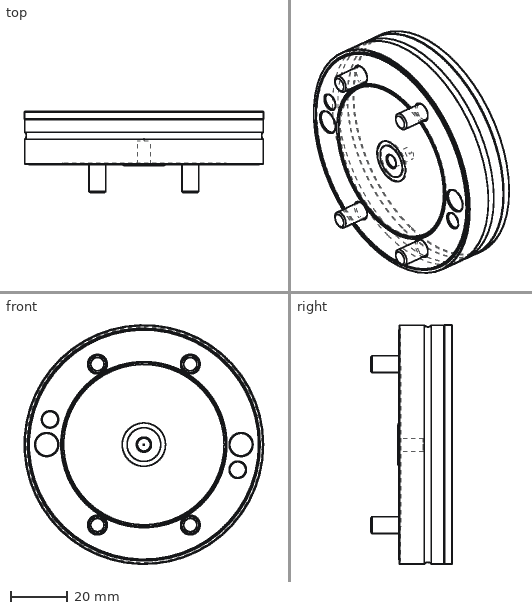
import cadquery as cq
import math

disc_radius = 42.5
body_radius = 84.9 / 2
rim_height = 18.8
face_height = 18.95
overall_height = 29.0

edge_chamfer = 0.25
rim_chamfer = 0.2
seam_height = 2.9
seam_half_width = 0.2
seam_depth = 0.2
groove_start = 7.4
groove_end = 9.95
groove_wall = 0.1
groove_depth = 0.6

land_radius = 41.0
land_chamfer = 0.25
land_groove_radius = 41.3
land_groove_depth = 0.3
ring_inner_radius = 28.5
ring_outer_radius = 29.1
ring_depth = 0.7
ring_chamfer = 0.4

seal_inner_radius = 12.0 / 2
seal_outer_radius = 15.4 / 2
seal_rise = 0.3

centre_diameter = 4.6
centre_mouth_diameter = 5.35
centre_chamfer_depth = 0.4
centre_depth = 8.5
vent_diameter = 0.4
vent_depth = 0.85

pin_diameter = 6.0
pin_tip_diameter = 4.7
pin_tip_length = 0.5
pin_circle_radius = 33.0
pin_angles = (60, 120, 240, 300)
pin_recess_diameter = 7.0
pin_recess_depth = 0.4
pin_root_depth = 0.85

recess_depth = 0.5
recess_chamfer = 0.25
recess_circle_radius = 34.5
large_recess_diameter = 8.0
large_recess_angles = (0, 180)
small_recess_diameter = 5.6
small_recess_angles = (-15, 165)


def make_disc():
    """Revolve half of the disc section; each point is (radius, -height)."""
    seal_tube_radius = (seal_outer_radius - seal_inner_radius) / 2
    seal_centre_radius = (seal_outer_radius + seal_inner_radius) / 2
    seal_top = face_height + seal_rise
    seal_bottom = seal_top - seal_tube_radius
    wall_radius = body_radius - groove_wall
    groove_middle = (groove_start + groove_end) / 2
    section = (
        cq.Workplane("XY")
        .moveTo(0, 0)
        .lineTo(disc_radius - edge_chamfer, 0)
        .lineTo(disc_radius, -edge_chamfer)
        .lineTo(disc_radius, -(seam_height - seam_half_width))
        .lineTo(disc_radius - seam_depth, -seam_height)
        .lineTo(body_radius, -(seam_height + seam_half_width))
        .lineTo(body_radius, -groove_start)
        .lineTo(wall_radius, -groove_start)
        .threePointArc((body_radius - groove_depth, -groove_middle), (wall_radius, -groove_end))
        .lineTo(body_radius, -groove_end)
        .lineTo(body_radius, -(rim_height - rim_chamfer))
        .lineTo(body_radius - rim_chamfer, -rim_height)
        .lineTo(land_groove_radius, -rim_height)
        .lineTo(land_groove_radius, -(rim_height - land_groove_depth))
        .lineTo(land_radius, -(rim_height - land_groove_depth))
        .lineTo(land_radius, -rim_height)
        .lineTo(land_radius - land_chamfer, -face_height)
        .lineTo(ring_outer_radius + ring_chamfer, -face_height)
        .lineTo(ring_outer_radius, -(face_height - ring_chamfer))
        .lineTo(ring_outer_radius, -(face_height - ring_depth))
        .lineTo(ring_inner_radius, -(face_height - ring_depth))
        .lineTo(ring_inner_radius, -face_height)
        .lineTo(seal_outer_radius, -face_height)
        .lineTo(seal_outer_radius, -seal_bottom)
        .threePointArc((seal_centre_radius, -seal_top), (seal_inner_radius, -seal_bottom))
        .lineTo(seal_inner_radius, -face_height)
        .lineTo(0, -face_height)
        .close()
    )
    return section.revolve(360, (0, 0, 0), (0, 1, 0))


def frustum(start_height, end_height, start_diameter, end_diameter):
    """Round body on the disc axis between two heights above the back."""
    section = cq.Workplane("XY").polyline([
        (0, -start_height),
        (start_diameter / 2, -start_height),
        (end_diameter / 2, -end_height),
        (0, -end_height),
    ])
    return section.close().revolve(360, (0, 0, 0), (0, 1, 0))


def place(body, circle_radius, angle):
    """Move a body from the disc axis to a polar place on the front face."""
    x = circle_radius * math.cos(math.radians(angle))
    z = circle_radius * math.sin(math.radians(angle))
    return body.translate((x, 0, z))


def make_centre_hole():
    floor_height = face_height - centre_depth
    chamfer_height = face_height - centre_chamfer_depth
    vent = frustum(floor_height - vent_depth, floor_height, vent_diameter, vent_diameter)
    bore = frustum(floor_height, chamfer_height, centre_diameter, centre_diameter)
    mouth = frustum(chamfer_height, face_height, centre_diameter, centre_mouth_diameter)
    return bore.union(mouth).union(vent)


def make_recess(diameter):
    floor_height = face_height - recess_depth
    chamfer_height = face_height - recess_chamfer
    mouth_diameter = diameter + 2 * recess_chamfer
    bore = frustum(floor_height, chamfer_height, diameter, diameter)
    return bore.union(frustum(chamfer_height, face_height, diameter, mouth_diameter))


def make_pin():
    root_height = face_height - pin_root_depth
    shoulder_height = overall_height - pin_tip_length
    shank = frustum(root_height, shoulder_height, pin_diameter, pin_diameter)
    return shank.union(frustum(shoulder_height, overall_height, pin_diameter, pin_tip_diameter))


result = make_disc().cut(make_centre_hole())

for diameter, angles in (
    (large_recess_diameter, large_recess_angles),
    (small_recess_diameter, small_recess_angles),
):
    for angle in angles:
        result = result.cut(place(make_recess(diameter), recess_circle_radius, angle))

pin_recess = frustum(face_height - pin_recess_depth, face_height, pin_diameter, pin_recess_diameter)
for angle in pin_angles:
    result = result.cut(place(pin_recess, pin_circle_radius, angle))
    result = result.union(place(make_pin(), pin_circle_radius, angle))